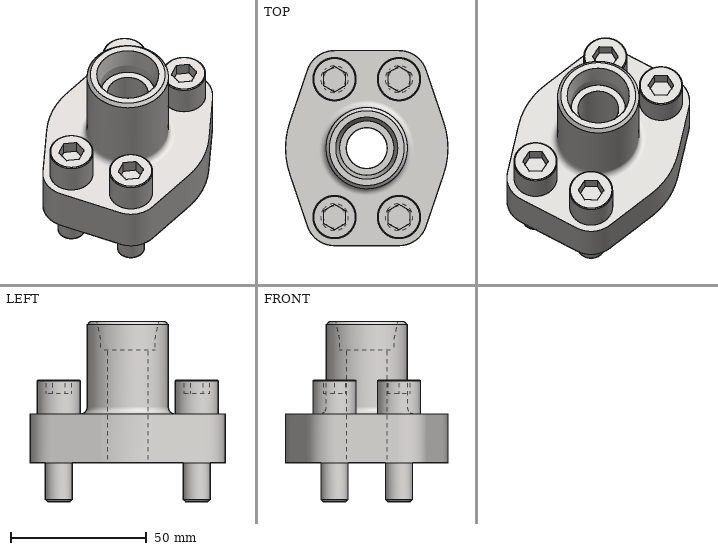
import cadquery as cq
import math

plate_length = 72.0
plate_width = 60.0
plate_thickness = 18.0

screw_x = 11.9
screw_y = 25.4
shank_diameter = 10.0
shank_reach = 14.4
tip_chamfer = 0.9
head_diameter = 16.0
head_height = 12.5
head_chamfer = 0.35
socket_across_flats = 8.1
socket_depth = 5.0

neck_top = 52.1
neck_diameter = 30.0
neck_chamfer = 1.2
neck_fillet = 2.5
bore_diameter = 15.0
seat_diameter = 20.0
cone_diameter = 22.9
cone_half_angle = 12.0
cone_depth = (cone_diameter - seat_diameter) / 2 / math.tan(math.radians(cone_half_angle))
seat_depth = 10.5

side_radius = plate_width / 2
corner_radius = plate_length / 2 - screw_y
screw_distance = math.hypot(screw_x, screw_y)
tangent_angle = math.atan2(screw_y, screw_x) - math.acos((side_radius - corner_radius) / screw_distance)


def make_plate():
    def around_bore(angle):
        return side_radius * math.cos(angle), side_radius * math.sin(angle)

    def around_screw(angle):
        return screw_x + corner_radius * math.cos(angle), screw_y + corner_radius * math.sin(angle)

    quarter_turn = math.pi / 2
    quarter = (
        cq.Workplane("XY")
        .lineTo(*around_bore(0))
        .threePointArc(around_bore(tangent_angle / 2), around_bore(tangent_angle))
        .lineTo(*around_screw(tangent_angle))
        .threePointArc(around_screw((tangent_angle + quarter_turn) / 2), around_screw(quarter_turn))
        .lineTo(0, plate_length / 2)
        .close()
        .extrude(plate_thickness)
    )
    half = quarter.union(quarter.mirror("YZ"))
    return half.union(half.mirror("XZ")).clean()


def make_neck():
    neck_radius = neck_diameter / 2
    fillet_top = plate_thickness + neck_fillet
    fillet_offset = neck_fillet * (1 - math.sqrt(0.5))
    return (
        cq.Workplane("XZ")
        .lineTo(neck_radius + neck_fillet, 0)
        .lineTo(neck_radius + neck_fillet, plate_thickness)
        .threePointArc(
            (neck_radius + fillet_offset, plate_thickness + fillet_offset),
            (neck_radius, fillet_top),
        )
        .lineTo(neck_radius, neck_top - neck_chamfer)
        .lineTo(neck_radius - neck_chamfer, neck_top)
        .lineTo(0, neck_top)
        .close()
        .revolve(360, (0, 0, 0), (0, 1, 0))
    )


def make_bore():
    step_z = neck_top - seat_depth
    return (
        cq.Workplane("XZ")
        .lineTo(bore_diameter / 2, 0)
        .lineTo(bore_diameter / 2, step_z)
        .lineTo(seat_diameter / 2, step_z)
        .lineTo(seat_diameter / 2, neck_top - cone_depth)
        .lineTo(cone_diameter / 2, neck_top)
        .lineTo(0, neck_top)
        .close()
        .revolve(360, (0, 0, 0), (0, 1, 0))
    )


def make_screw():
    shank = (
        cq.Workplane("XY", origin=(0, 0, -shank_reach))
        .circle(shank_diameter / 2)
        .extrude(shank_reach + plate_thickness)
        .faces("<Z")
        .chamfer(tip_chamfer)
    )
    head_top = plate_thickness + head_height
    head = (
        cq.Workplane("XY", origin=(0, 0, plate_thickness))
        .circle(head_diameter / 2)
        .extrude(head_height)
        .faces(">Z")
        .chamfer(head_chamfer)
    )
    socket = (
        cq.Workplane("XY", origin=(0, 0, head_top))
        .polygon(6, socket_across_flats, circumscribed=True)
        .extrude(-socket_depth)
    )
    return shank.union(head.cut(socket))


result = make_plate().union(make_neck()).cut(make_bore())
screw = make_screw()
for x_side in (-1, 1):
    for y_side in (-1, 1):
        result = result.union(screw.translate((x_side * screw_x, y_side * screw_y, 0)))